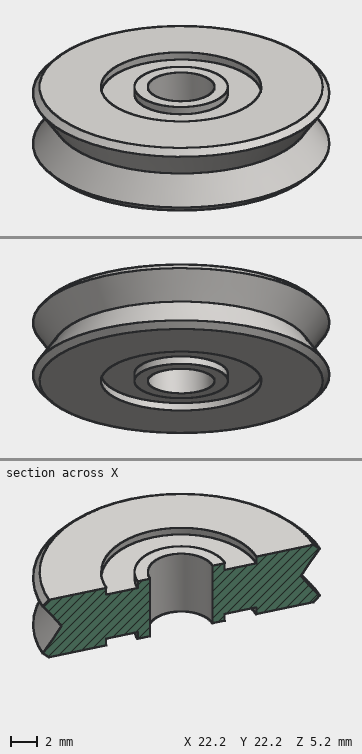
import cadquery as cq

outer_diameter = 22.2
width = 5.2
rim_chamfer = 0.5
groove_root_diameter = 19.2

bore_diameter = 5.0
hub_diameter = 7.0
recess_diameter = 12.0
recess_depth = 0.6


def wheel_blank():
    """Solid wheel with chamfered rims and a V groove around its edge."""
    outer_radius = outer_diameter / 2
    half_width = width / 2
    face_radius = outer_radius - rim_chamfer
    rim_height = half_width - rim_chamfer
    section = [
        (0, -half_width),
        (face_radius, -half_width),
        (outer_radius, -rim_height),
        (groove_root_diameter / 2, 0),
        (outer_radius, rim_height),
        (face_radius, half_width),
        (0, half_width),
    ]
    return (
        cq.Workplane("XZ")
        .polyline(section)
        .close()
        .revolve(360, (0, 0, 0), (0, 1, 0))
    )


def face_recess(floor_height):
    """Ring-shaped cutter that leaves the hub standing flush with the face."""
    return (
        cq.Workplane("XY")
        .workplane(offset=floor_height)
        .circle(recess_diameter / 2)
        .circle(hub_diameter / 2)
        .extrude(recess_depth)
    )


def bore():
    """Cutter for the axle bore through the full width."""
    return (
        cq.Workplane("XY")
        .workplane(offset=-width / 2)
        .circle(bore_diameter / 2)
        .extrude(width)
    )


top_recess = face_recess(width / 2 - recess_depth)
bottom_recess = face_recess(-width / 2)

result = wheel_blank().cut(top_recess).cut(bottom_recess).cut(bore())